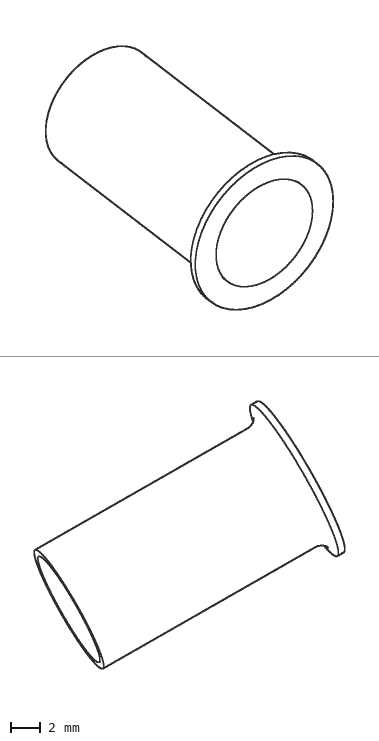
import cadquery as cq

length = 18.0
flange_diameter = 11.66
tube_diameter = 9.16
wall = 0.5
flange_thickness = 0.5
fillet_radius = 1.0

bore_diameter = tube_diameter - 2 * wall


def cylinder_along_x(diameter, start, height):
    """Solid cylinder on the X axis, running from start toward +X."""
    return cq.Workplane("YZ", origin=(start, 0, 0)).circle(diameter / 2).extrude(height)


flange_start = length - flange_thickness
tube = cylinder_along_x(tube_diameter, 0, length)
flange = cylinder_along_x(flange_diameter, flange_start, flange_thickness)
body = tube.union(flange)

joint_edge = cq.selectors.RadiusNthSelector(0)
flange_back = body.faces(cq.selectors.NearestToPointSelector((flange_start, 0, 0)))
body = flange_back.edges(joint_edge).fillet(fillet_radius)

result = body.cut(cylinder_along_x(bore_diameter, 0, length))